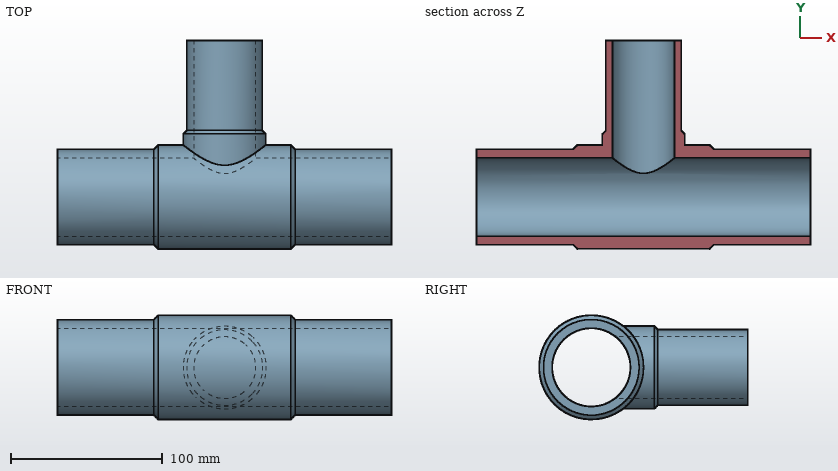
import cadquery as cq

run_length = 219.86
run_diameter = 63.0
run_bore = 51.4

sleeve_length = 93.0
sleeve_diameter = 68.8

overall_depth = 137.45
branch_reach = overall_depth - sleeve_diameter / 2
branch_diameter = 50.0
branch_bore = 40.8

collar_reach = 43.8
collar_diameter = 54.6


def run_cylinder(diameter, length):
    """Cylinder along X, centred on the origin."""
    return cq.Workplane("YZ").circle(diameter / 2).extrude(length / 2, both=True)


def branch_cylinder(diameter, reach):
    """Cylinder along +Y, from the run axis out to the given reach."""
    return cq.Workplane("XZ").circle(diameter / 2).extrude(-reach)


def make_sleeve():
    bevel = (sleeve_diameter - run_diameter) / 2
    sleeve = run_cylinder(sleeve_diameter, sleeve_length)
    return sleeve.faces("<X or >X").chamfer(bevel)


def make_collar():
    bevel = (collar_diameter - branch_diameter) / 2
    collar = branch_cylinder(collar_diameter, collar_reach)
    return collar.faces(">Y").chamfer(bevel)


def make_tee():
    body = run_cylinder(run_diameter, run_length).union(make_sleeve())
    body = body.union(make_collar()).union(branch_cylinder(branch_diameter, branch_reach))
    body = body.cut(run_cylinder(run_bore, run_length))
    return body.cut(branch_cylinder(branch_bore, branch_reach))


result = make_tee()